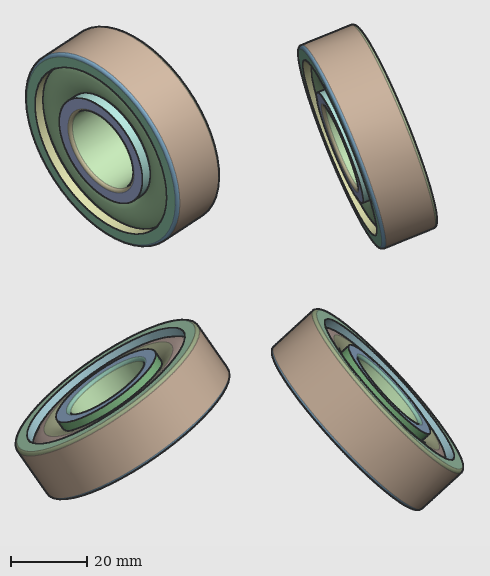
import cadquery as cq

outer_diameter = 57.75
width = 15.8
bore_diameter = 23.35
inner_ring_diameter = 31.4
outer_ring_bore = 49.7
edge_radius = 0.85
bead_radius = 6.8

bead_path_radius = (outer_ring_bore + inner_ring_diameter) / 4


def make_ring(outside_diameter, inside_diameter, rounded_corners):
    """Ring centred on the XZ plane, with the selected corners of its section rounded."""
    wall = (outside_diameter - inside_diameter) / 2
    middle_radius = (outside_diameter + inside_diameter) / 4
    section = cq.Sketch().rect(width, wall).vertices(rounded_corners).fillet(edge_radius)
    return revolve_section(section, middle_radius)


def revolve_section(section, radius):
    """Place a section at the given radius in the YZ plane and turn it around the Y axis."""
    workplane = cq.Workplane("YZ").center(0, radius).placeSketch(section)
    return workplane.revolve(360, (0, -radius), (1, -radius))


outer_ring = make_ring(outer_diameter, outer_ring_bore, ">Y")
inner_ring = make_ring(inner_ring_diameter, bore_diameter, "<Y")
bead = revolve_section(cq.Sketch().circle(bead_radius), bead_path_radius)

result = outer_ring.union(inner_ring).union(bead)